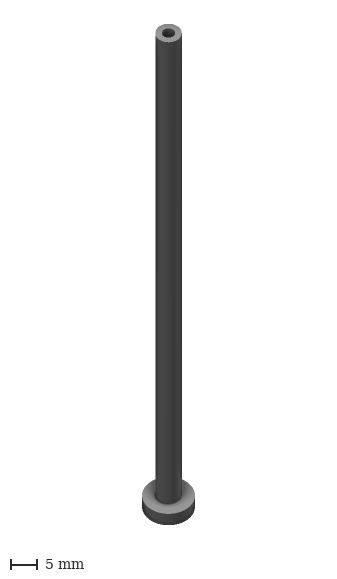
import cadquery as cq

total_length = 125.0
head_diameter = 10.0
head_height = 3.0
tube_diameter = 5.0
bore_diameter = 2.5
root_fillet = 0.3

head = cq.Workplane("XY").circle(head_diameter / 2).extrude(head_height)
tube = cq.Workplane("XY").circle(tube_diameter / 2).extrude(total_length)
body = head.union(tube)

root_height_band = cq.selectors.BoxSelector(
    (-head_diameter, -head_diameter, head_height - root_fillet),
    (head_diameter, head_diameter, head_height + root_fillet),
)
root_edge = body.edges(root_height_band).edges(cq.selectors.RadiusNthSelector(0))
body = root_edge.fillet(root_fillet)

result = body.faces(">Z").workplane().hole(bore_diameter)